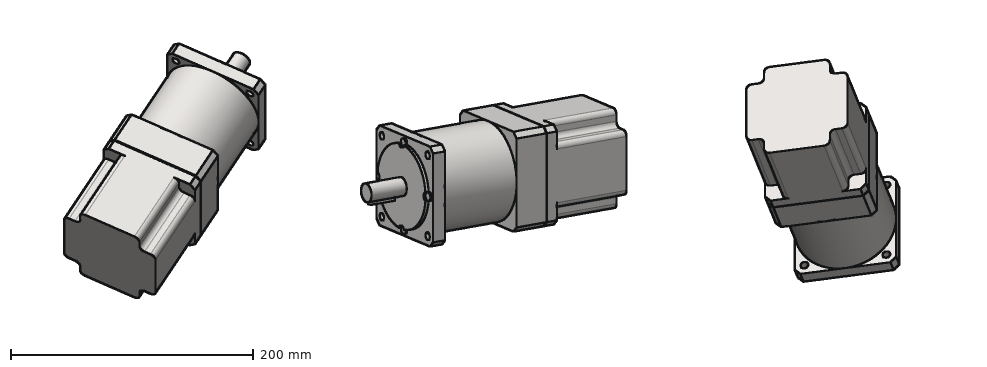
import cadquery as cq

body_width = 86.0
corner_chamfer = 4.8
joint_width = 0.5
joint_depth = 1.1

motor_rear = 0.0
corner_relief_end = 68.5
motor_front = 78.4
adapter_back = motor_front + joint_width
adapter_front = 108.3
flange_back = 178.7
flange_front = 190.5
screw_head_front = 192.0
pilot_front = 193.8
shaft_tip = 228.5

relief_depth = 15.0
relief_radius = 4.8

mounting_hole_offset = 34.7
mounting_hole_diameter = 6.5
pilot_diameter = 73.0
screw_head_diameter = 7.5
screw_circle_radius = 37.2

shaft_diameter = 16.0
key_length = 25.8
key_width = 5.0
key_tip_gap = 2.3
key_outer_reach = 10.3


def section_at(y):
    """Workplane across the axis at station y, with local x = X, local y = Z and normal -Y."""
    return cq.Workplane("XZ", origin=(0, y, 0))


def square_block(y_start, y_end, width=body_width):
    block = section_at(y_start).rect(width, width).extrude(y_start - y_end)
    return block.edges("|Y").chamfer(corner_chamfer)


def cylinder(y_start, y_end, diameter):
    return section_at(y_start).circle(diameter / 2).extrude(y_start - y_end)


def motor_body():
    """Square body with a plus-shaped rear section whose corner reliefs are rounded."""
    span = body_width - 2 * relief_depth
    length = corner_relief_end - motor_rear
    upright = section_at(motor_rear).rect(span, body_width).extrude(-length)
    crossbar = section_at(motor_rear).rect(body_width, span).extrude(-length)
    rear = upright.union(crossbar).edges("|Y").fillet(relief_radius)
    return rear.union(square_block(corner_relief_end, motor_front))


def adapter():
    """Square gearbox adapter, set off from the motor by a fine groove all round."""
    neck = square_block(motor_front, adapter_back, body_width - 2 * joint_depth)
    return neck.union(square_block(adapter_back, adapter_front))


def flange():
    """Square plate with a through hole near each corner."""
    plate = square_block(flange_back, flange_front)
    hole_spacing = 2 * mounting_hole_offset
    holes = (
        section_at(flange_back)
        .rect(hole_spacing, hole_spacing, forConstruction=True)
        .vertices()
        .circle(mounting_hole_diameter / 2)
        .extrude(flange_back - flange_front)
    )
    return plate.cut(holes)


def screw_discs(y_end):
    """Four discs standing on the flange face, on the X and Z axes."""
    return (
        section_at(flange_front)
        .polarArray(screw_circle_radius, 0, 360, 4)
        .circle(screw_head_diameter / 2)
        .extrude(flange_front - y_end)
    )


def pilot():
    """Locating spigot, notched around four low screw heads."""
    spigot = cylinder(flange_front, pilot_front, pilot_diameter)
    return spigot.cut(screw_discs(pilot_front)).union(screw_discs(screw_head_front))


def shaft_key():
    """Round-ended key standing out of the -Z side of the shaft."""
    key_centre = shaft_tip - key_tip_gap - key_length / 2
    return (
        cq.Workplane("XY", origin=(0, key_centre, -key_outer_reach))
        .slot2D(key_length, key_width, 90)
        .extrude(key_outer_reach)
    )


result = (
    motor_body()
    .union(adapter())
    .union(cylinder(adapter_front, flange_back, body_width))
    .union(flange())
    .union(pilot())
    .union(cylinder(flange_front, shaft_tip, shaft_diameter))
    .union(shaft_key())
)